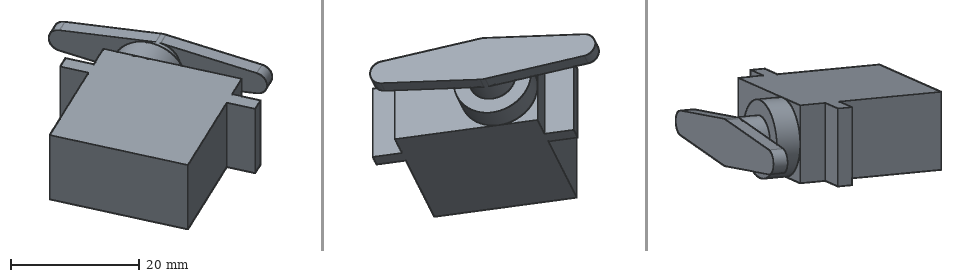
import cadquery as cq
import math

thickness = 12.45
case_width = 23.0
case_depth = 24.3
lug_length = 4.7
lug_depth = 2.4
lug_front = 17.55
boss_depth = 4.0
shaft_diameter = 7.5
shaft_depth = 3.7
horn_depth = 2.4
horn_reach = 18.15
horn_tip_radius = 2.0

boss_radius = thickness / 2
shaft_radius = shaft_diameter / 2
case_left = -boss_radius
boss_back = case_depth + boss_depth
horn_front = boss_back + shaft_depth


def block(x, y, width, depth):
    """Full-height block with its left front corner at (x, y)."""
    return cq.Workplane("XY").box(width, depth, thickness, centered=(False, False, True)).translate((x, y, 0))


def plane_at(y):
    """Workplane across the shaft axis, facing the back (+Y)."""
    return cq.Workplane(cq.Plane(origin=(0, y, 0), xDir=(1, 0, 0), normal=(0, 1, 0)))


def cylinder(y, radius, depth):
    """Cylinder about the shaft axis, running back from y, with its seam on top."""
    turned_plane = cq.Plane(origin=(0, y, 0), xDir=(0, 0, 1), normal=(0, 1, 0))
    return cq.Workplane(turned_plane).circle(radius).extrude(depth)


def make_horn():
    """Tapered arms whose straight sides are tangent to the shaft and tip circles."""
    tip_center = horn_reach - horn_tip_radius
    taper_sine = (shaft_radius - horn_tip_radius) / tip_center
    taper_cosine = math.sqrt(1 - taper_sine**2)
    hub_x = shaft_radius * taper_sine
    hub_z = shaft_radius * taper_cosine
    tip_x = tip_center + horn_tip_radius * taper_sine
    tip_z = horn_tip_radius * taper_cosine
    return (
        plane_at(horn_front)
        .moveTo(hub_x, hub_z)
        .lineTo(tip_x, tip_z)
        .threePointArc((horn_reach, 0), (tip_x, -tip_z))
        .lineTo(hub_x, -hub_z)
        .lineTo(-hub_x, -hub_z)
        .lineTo(-tip_x, -tip_z)
        .threePointArc((-horn_reach, 0), (-tip_x, tip_z))
        .lineTo(-hub_x, hub_z)
        .close()
        .extrude(horn_depth)
    )


case = block(case_left, 0, case_width, case_depth)
lugs = block(case_left - lug_length, lug_front, case_width + 2 * lug_length, lug_depth)
boss = cylinder(case_depth, boss_radius, boss_depth)
shaft = cylinder(boss_back, shaft_radius, shaft_depth + horn_depth)

result = case.union(lugs).union(boss).union(shaft).union(make_horn())